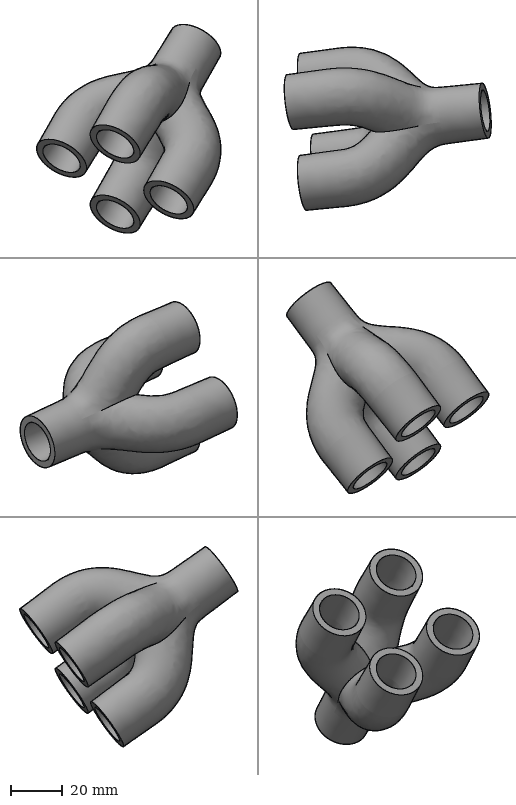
import cadquery as cq

total_length = 72.0
socket_length = 16.0
branch_offset = 23.0
branch_count = 4

outer_radius = 11.0
end_outer_radius = 10.7
bore_radius = 7.6
end_bore_radius = 8.0

inlet_end_y = total_length / 2
outlet_end_y = -total_length / 2
inlet_bend_y = inlet_end_y - socket_length
outlet_bend_y = outlet_end_y + socket_length
sector_reach = branch_offset + 2 * outer_radius


def branch_bend(radius):
    """Round bar along the S-shaped +X branch, whose centreline is parallel to Y at both ends."""
    path = cq.Workplane("XY").spline(
        [(0, inlet_bend_y), (branch_offset, outlet_bend_y)],
        tangents=[(0, -1), (0, -1)],
    )
    return cq.Workplane("XZ", origin=(0, inlet_bend_y, 0)).circle(radius).sweep(path)


def tapered_end(x, end_y, direction, end_radius, inner_radius):
    """Cone from an open end, running socket_length along direction (+1 or -1) in Y."""
    cone = cq.Solid.makeCone(
        end_radius, inner_radius, socket_length,
        pnt=cq.Vector(x, end_y, 0), dir=cq.Vector(0, direction, 0),
    )
    return cq.Workplane(cone)


def branch_sector():
    """Quarter of space around +X in which the +X branch lies; neighbours meet on its 45 degree sides."""
    return (
        cq.Workplane("XZ")
        .polyline([(0, 0), (sector_reach, -sector_reach), (sector_reach, sector_reach)])
        .close()
        .extrude(total_length / 2, both=True)
    )


def hollow_end(x, end_y, direction):
    """Tapered socket tube with its tapered bore."""
    outside = tapered_end(x, end_y, direction, end_outer_radius, outer_radius)
    bore = tapered_end(x, end_y, direction, end_bore_radius, bore_radius)
    return outside.cut(bore)


def hollow_branch():
    """The +X branch: bend trimmed to its sector, plus the outlet socket."""
    sector = branch_sector()
    bend = branch_bend(outer_radius).intersect(sector)
    bend_bore = branch_bend(bore_radius).intersect(sector)
    return bend.cut(bend_bore).union(hollow_end(branch_offset, outlet_end_y, 1))


branch = hollow_branch()
manifold = hollow_end(0, inlet_end_y, -1)
for index in range(branch_count):
    turn = index * 360 / branch_count
    manifold = manifold.union(branch.rotate((0, 0, 0), (0, 1, 0), turn))

result = manifold.solids()